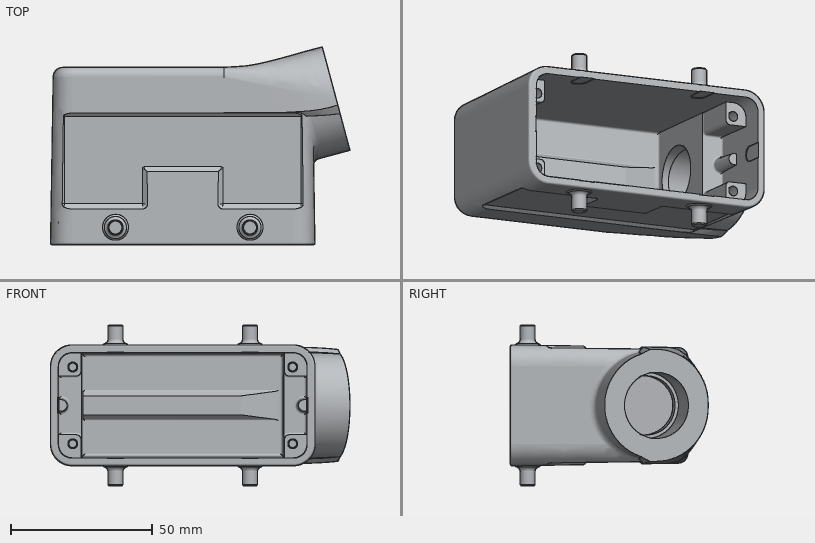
import cadquery as cq
import math


OVERLAP = 0.1

RIM_LENGTH = 93.7
RIM_WIDTH = 42.9
RIM_CORNER_RADIUS = 7.6
RIM_LIP_HEIGHT = 0.8
RIM_EDGE_FILLET = 0.7
ROOF_Y = 62.9
ROOF_FILLET = 3.6
WALL_DRAFT = 0.9

WALL = 2.8
ROOF_WALL = 2.8
SHELF_Y = 27.1
SHELF_FILLET = 0.7
CAVITY_DRAFT = 0.7
DEEP_LENGTH = 70.8
FLOOR_FILLET = 0.8

RIDGE_HEIGHT = 2.7
RIDGE_BASE_WIDTH = 10.2
RIDGE_ROOT_FILLET = 0.6
RIDGE_TOP_WIDTH = 6.8
RIDGE_RAMP_START_X = 20.9
RIDGE_RAMP_END_X = 33.7

POST_END_Y = 9.2
POST_INNER_X = 36.1
POST_INNER_Z = 10.4
POST_EDGE_FILLET = 1.6
SCREW_X = 38.9
SCREW_Z = 13.6
SCREW_HOLE_DIAMETER = 3.5
SCREW_HOLE_DEPTH = 12.7
SCREW_HOLE_DRAFT = 1.7
STOP_END_Y = 16.4
STOP_RADIUS = 2.0
STOP_CENTRE_X = 43.0
STOP_DRAFT = 3.0

PANEL_Z = 19.6
PANEL_HALF_LENGTH = 41.8
PANEL_BOTTOM_Y = 14.6
PANEL_TOP_Y = 45.4
TAB_HALF_LENGTH = 14.3
TAB_TOP_Y = 27.7
TAB_CORNER_RADIUS = 0.8
PANEL_EDGE_ANGLE = 50.0

PIN_SPACING = 47.6
PIN_X = PIN_SPACING / 2
PIN_Y = 6.2
PIN_DIAMETER = 5.4
PIN_RADIUS = PIN_DIAMETER / 2
PIN_TIP_SPAN = 57.0
PIN_TIP_Z = PIN_TIP_SPAN / 2
PIN_TIP_CHAMFER = 0.4
PIN_SKIRT_RADIUS = 4.8
PIN_SKIRT_Z = 21.2
PIN_FLARE_RADIUS = 3.9
PIN_FLARE_Z = 21.9
PIN_FLARE_TOP_Z = 23.7
PIN_FLARE_ARC_RADIUS = 1.6
PIN_ROOT_Z = 20.2

RELIEF_DEPTH = 0.2
RELIEF_RADIUS = 2.8
RELIEF_CENTRE_Y = 6.6

OUTLET_ANGLE = 15.0
OUTLET_RADIUS = 19.0
OVERALL_LENGTH = 106.1
OUTLET_END_X = OVERALL_LENGTH - RIM_LENGTH / 2
OUTLET_TOP_Y = 70.1
OUTLET_BARREL_LENGTH = 15.9
HUMP_ARC_START_X = 14.5
HUMP_ARC_RADIUS = 62.6
HUMP_MIDDLE_CORNER_RADIUS = 5.9
HUMP_TILTED_CORNER_RADIUS = 9.5
HUMP_BOTTOM_Y = 46.9
HUMP_BEVEL = 1.6
HUMP_OUTLET_BEVEL_HEIGHT = 3.2
HUMP_OUTLET_HALF_WIDTH = 19.8
HUMP_OUTLET_HEIGHT = 21.3
OUTLET_BLEND = 2.1
THREAD_BORE_DIAMETER = 23.5
THREAD_BORE_DEPTH = 13.8
CABLE_BORE_DIAMETER = 21.0
CABLE_BORE_DEPTH = 29.7

ANGLE = math.radians(OUTLET_ANGLE)
OUTLET_X = OUTLET_END_X - OUTLET_RADIUS * math.sin(ANGLE)
OUTLET_Y = OUTLET_TOP_Y - OUTLET_RADIUS * math.cos(ANGLE)


def level(y):
    """Workplane across the hood at height y, facing the roof."""
    return cq.Workplane(cq.Plane(origin=(0, y, 0), xDir=(1, 0, 0), normal=(0, 1, 0)))


def make_shell():
    """Solid drafted block with a straight lip at the rim and a rounded roof."""
    def rim_block(y, height, draft):
        outline = cq.Sketch().rect(RIM_LENGTH, RIM_WIDTH).vertices().fillet(RIM_CORNER_RADIUS)
        return level(y).placeSketch(outline).extrude(height, taper=draft)

    walls = rim_block(RIM_LIP_HEIGHT, ROOF_Y - RIM_LIP_HEIGHT, WALL_DRAFT)
    walls = walls.faces(">Y").edges().fillet(ROOF_FILLET)
    lip = rim_block(0, RIM_LIP_HEIGHT, 0).faces("<Y").edges().fillet(RIM_EDGE_FILLET)
    return lip.union(walls)


def make_hump_clearance():
    """Corner of the shell that gives way to the hump."""
    return (
        level(HUMP_BOTTOM_Y)
        .center((HUMP_ARC_START_X + RIM_LENGTH / 2) / 2, 0)
        .rect(RIM_LENGTH / 2 - HUMP_ARC_START_X, RIM_WIDTH)
        .extrude(ROOF_Y - HUMP_BOTTOM_Y)
    )


def make_panel_cutter():
    """Recess with sloped edges that steps around a central tab."""
    outline = (
        cq.Workplane("XY", origin=(0, 0, PANEL_Z))
        .moveTo(-PANEL_HALF_LENGTH, PANEL_BOTTOM_Y)
        .lineTo(-TAB_HALF_LENGTH, PANEL_BOTTOM_Y)
        .lineTo(-TAB_HALF_LENGTH, TAB_TOP_Y - TAB_CORNER_RADIUS)
        .radiusArc((-TAB_HALF_LENGTH + TAB_CORNER_RADIUS, TAB_TOP_Y), TAB_CORNER_RADIUS)
        .lineTo(TAB_HALF_LENGTH - TAB_CORNER_RADIUS, TAB_TOP_Y)
        .radiusArc((TAB_HALF_LENGTH, TAB_TOP_Y - TAB_CORNER_RADIUS), TAB_CORNER_RADIUS)
        .lineTo(TAB_HALF_LENGTH, PANEL_BOTTOM_Y)
        .lineTo(PANEL_HALF_LENGTH, PANEL_BOTTOM_Y)
        .lineTo(PANEL_HALF_LENGTH, PANEL_TOP_Y)
        .lineTo(-PANEL_HALF_LENGTH, PANEL_TOP_Y)
        .close()
    )
    return outline.extrude(RIM_WIDTH / 2 - PANEL_Z + OVERLAP, taper=-PANEL_EDGE_ANGLE)


def hump_section(bottom_x, bottom_y, tilt, half_width, height, corner_radius, bevel_height):
    """Closed outline with bevelled feet and round top corners, leaning back by tilt degrees."""
    lean = math.radians(tilt)
    normal = (math.cos(lean), math.sin(lean), 0)
    plane = cq.Plane(origin=(bottom_x, bottom_y, 0), xDir=(0, 0, -1), normal=normal)
    diagonal = corner_radius * (1 - math.sqrt(0.5))
    shoulder = height - corner_radius
    top_half_width = half_width - shoulder * math.tan(math.radians(WALL_DRAFT))
    flat = top_half_width - corner_radius
    return (
        cq.Workplane(plane)
        .moveTo(-half_width + HUMP_BEVEL, -bevel_height)
        .lineTo(half_width - HUMP_BEVEL, -bevel_height)
        .lineTo(half_width, 0)
        .lineTo(top_half_width, shoulder)
        .threePointArc((top_half_width - diagonal, height - diagonal), (flat, height))
        .lineTo(-flat, height)
        .threePointArc((-top_half_width + diagonal, height - diagonal), (-top_half_width, shoulder))
        .lineTo(-half_width, 0)
        .close()
        .wire()
        .val()
    )


def make_hump():
    """Roof swelling that turns the boxy hood into the round, tilted outlet."""
    body_half_width = RIM_WIDTH / 2 - (HUMP_BOTTOM_Y - RIM_LIP_HEIGHT) * math.tan(math.radians(WALL_DRAFT))
    sections = []
    corner_radii = ((0, ROOF_FILLET), (0.5, HUMP_MIDDLE_CORNER_RADIUS), (1, HUMP_TILTED_CORNER_RADIUS))
    for share, corner_radius in corner_radii:
        lean = ANGLE * share
        top_x = HUMP_ARC_START_X + HUMP_ARC_RADIUS * math.sin(lean)
        top_y = ROOF_Y + HUMP_ARC_RADIUS * (1 - math.cos(lean))
        height = (top_y - HUMP_BOTTOM_Y) / math.cos(lean)
        bottom_x = top_x + height * math.sin(lean)
        sections.append(
            hump_section(
                bottom_x, HUMP_BOTTOM_Y, OUTLET_ANGLE * share,
                body_half_width, height, corner_radius, HUMP_BEVEL,
            )
        )
    drop = HUMP_OUTLET_HEIGHT - OUTLET_RADIUS
    sections.append(
        hump_section(
            OUTLET_X + drop * math.sin(ANGLE), OUTLET_Y - drop * math.cos(ANGLE), OUTLET_ANGLE,
            HUMP_OUTLET_HALF_WIDTH, HUMP_OUTLET_HEIGHT, OUTLET_RADIUS, HUMP_OUTLET_BEVEL_HEIGHT,
        )
    )
    return cq.Workplane(cq.Solid.makeLoft(sections))


def outlet_cylinder(radius, length):
    """Cylinder on the outlet axis, running inwards from the outlet face."""
    inwards = cq.Vector(-math.cos(ANGLE), -math.sin(ANGLE), 0)
    return cq.Workplane(cq.Solid.makeCylinder(radius, length, cq.Vector(OUTLET_X, OUTLET_Y, 0), inwards))


def make_lower_barrel():
    """Round underside of the outlet; the hump forms everything above the outlet axis."""
    upper_half = level(OUTLET_Y).center(OUTLET_X, 0).rect(RIM_LENGTH, RIM_WIDTH).extrude(2 * OUTLET_RADIUS)
    return outlet_cylinder(OUTLET_RADIUS, OUTLET_BARREL_LENGTH).cut(upper_half)


def make_pin(x):
    """Locking pin with a flared foot, rising from the broad side."""
    profile = (
        cq.Workplane("XZ", origin=(x, PIN_Y, 0))
        .moveTo(0, PIN_ROOT_Z)
        .lineTo(PIN_SKIRT_RADIUS, PIN_ROOT_Z)
        .lineTo(PIN_SKIRT_RADIUS, PIN_SKIRT_Z)
        .lineTo(PIN_FLARE_RADIUS, PIN_FLARE_Z)
        .radiusArc((PIN_RADIUS, PIN_FLARE_TOP_Z), PIN_FLARE_ARC_RADIUS)
        .lineTo(PIN_RADIUS, PIN_TIP_Z - PIN_TIP_CHAMFER)
        .lineTo(PIN_RADIUS - PIN_TIP_CHAMFER, PIN_TIP_Z)
        .lineTo(0, PIN_TIP_Z)
        .close()
    )
    return profile.revolve(360, (0, 0, 0), (0, 1, 0))


def make_posts_and_stops():
    """Four screw posts and two end stops; they overlap the end walls and the shelf."""
    post_length = (RIM_LENGTH - WALL) / 2 - POST_INNER_X
    post_width = (RIM_WIDTH - WALL) / 2 - POST_INNER_Z
    post = (
        cq.Workplane("XY")
        .box(post_length, SHELF_Y - POST_END_Y, post_width, centered=False)
        .edges("|Y and <X and <Z")
        .fillet(POST_EDGE_FILLET)
        .translate((POST_INNER_X, POST_END_Y, POST_INNER_Z))
    )
    end_z = post.union(post.mirror("XY"))
    stop_reach = RIM_LENGTH / 2 - STOP_CENTRE_X
    stop_outline = (
        cq.Sketch()
        .circle(STOP_RADIUS)
        .push([(stop_reach / 2, 0)])
        .rect(stop_reach, 2 * STOP_RADIUS)
        .clean()
    )
    stop = (
        level(STOP_END_Y)
        .center(STOP_CENTRE_X, 0)
        .placeSketch(stop_outline)
        .extrude(SHELF_Y - STOP_END_Y, taper=-STOP_DRAFT)
    )
    one_end = end_z.union(stop)
    return one_end.union(one_end.mirror("YZ"))


def make_ridge():
    """Sloped-sided rib hanging from a strip of roof, ramping out towards the cable outlet."""
    floor_y = ROOF_Y - ROOF_WALL
    half_base = RIDGE_BASE_WIDTH / 2
    half_top = RIDGE_TOP_WIDTH / 2
    half_roof = RIDGE_BASE_WIDTH
    root_selector = cq.selectors.BoxSelector(
        (-DEEP_LENGTH, floor_y - OVERLAP, -half_base - OVERLAP),
        (DEEP_LENGTH, floor_y + OVERLAP, half_base + OVERLAP),
    )
    rib = (
        cq.Workplane("YZ", origin=(-DEEP_LENGTH / 2, 0, 0))
        .polyline([
            (ROOF_Y, -half_roof),
            (floor_y, -half_roof),
            (floor_y, -half_base),
            (floor_y - RIDGE_HEIGHT, -half_top),
            (floor_y - RIDGE_HEIGHT, half_top),
            (floor_y, half_base),
            (floor_y, half_roof),
            (ROOF_Y, half_roof),
        ])
        .close()
        .extrude(DEEP_LENGTH / 2 + RIDGE_RAMP_END_X)
        .edges(root_selector)
        .fillet(RIDGE_ROOT_FILLET)
    )
    ramp_cut = (
        cq.Workplane("XY", origin=(0, 0, -half_roof))
        .polyline([
            (RIDGE_RAMP_START_X, floor_y - RIDGE_HEIGHT),
            (RIDGE_RAMP_END_X, floor_y - RIDGE_HEIGHT),
            (RIDGE_RAMP_END_X, floor_y),
        ])
        .close()
        .extrude(2 * half_roof)
    )
    return rib.cut(ramp_cut)


def make_cavity():
    """Inner space: a wide mouth down to the shelf and a narrower deep part up to the roof."""
    mouth_outline = (
        cq.Sketch()
        .rect(RIM_LENGTH - 2 * WALL, RIM_WIDTH - 2 * WALL)
        .vertices()
        .fillet(RIM_CORNER_RADIUS - WALL)
    )
    mouth = level(0).placeSketch(mouth_outline).extrude(SHELF_Y, taper=CAVITY_DRAFT)
    mouth = mouth.cut(make_posts_and_stops()).faces(">Y").edges().fillet(SHELF_FILLET)
    deep_height = ROOF_Y - ROOF_WALL
    flare = 2 * deep_height * math.tan(math.radians(CAVITY_DRAFT))
    deep = (
        level(0)
        .rect(DEEP_LENGTH + flare, RIM_WIDTH - 2 * WALL)
        .extrude(deep_height, taper=CAVITY_DRAFT)
        .faces(">Y")
        .edges()
        .fillet(FLOOR_FILLET)
    )
    return mouth.union(deep).cut(make_ridge())


def make_reliefs():
    """Shallow round-ended recesses in the inner walls, behind the pins and at the middle of each end."""
    def relief(floor_distance):
        floor = cq.Workplane("XY", origin=(0, 0, floor_distance))
        straight = floor.rect(2 * RELIEF_RADIUS, 2 * RELIEF_CENTRE_Y).extrude(-WALL)
        round_end = floor.center(0, RELIEF_CENTRE_Y).circle(RELIEF_RADIUS).extrude(-WALL)
        return straight.union(round_end)

    side = relief(RIM_WIDTH / 2 - WALL + RELIEF_DEPTH)
    end = relief(RIM_LENGTH / 2 - WALL + RELIEF_DEPTH).rotate((0, 0, 0), (0, 1, 0), 90)
    reliefs = end.union(end.mirror("YZ"))
    for x in (-PIN_X, PIN_X):
        pocket = side.translate((x, 0, 0))
        reliefs = reliefs.union(pocket).union(pocket.mirror("XY"))
    return reliefs


panel = make_panel_cutter()
hood = make_shell().cut(panel).cut(panel.mirror("XY")).cut(make_hump_clearance())
hood = hood.union(make_lower_barrel()).union(make_hump())

barrel_root = cq.selectors.BoxSelector(
    (RIM_LENGTH / 2 - ROOF_FILLET, OUTLET_Y - OUTLET_RADIUS - 2 * OUTLET_BLEND, -OUTLET_RADIUS),
    (RIM_LENGTH / 2 + ROOF_FILLET, OUTLET_Y - OUTLET_RADIUS / 2, OUTLET_RADIUS),
)
hood = hood.edges(barrel_root).fillet(OUTLET_BLEND)

for pin_x in (-PIN_X, PIN_X):
    pin = make_pin(pin_x)
    hood = hood.union(pin).union(pin.mirror("XY"))

hood = hood.cut(make_cavity()).cut(make_reliefs())

screw_points = [(x, z) for x in (-SCREW_X, SCREW_X) for z in (-SCREW_Z, SCREW_Z)]
screw_holes = level(POST_END_Y).pushPoints(screw_points).circle(SCREW_HOLE_DIAMETER / 2)
screw_holes = screw_holes.extrude(SCREW_HOLE_DEPTH, taper=SCREW_HOLE_DRAFT)
hood = hood.cut(screw_holes)

hood = hood.cut(outlet_cylinder(THREAD_BORE_DIAMETER / 2, THREAD_BORE_DEPTH))
hood = hood.cut(outlet_cylinder(CABLE_BORE_DIAMETER / 2, CABLE_BORE_DEPTH))

result = hood